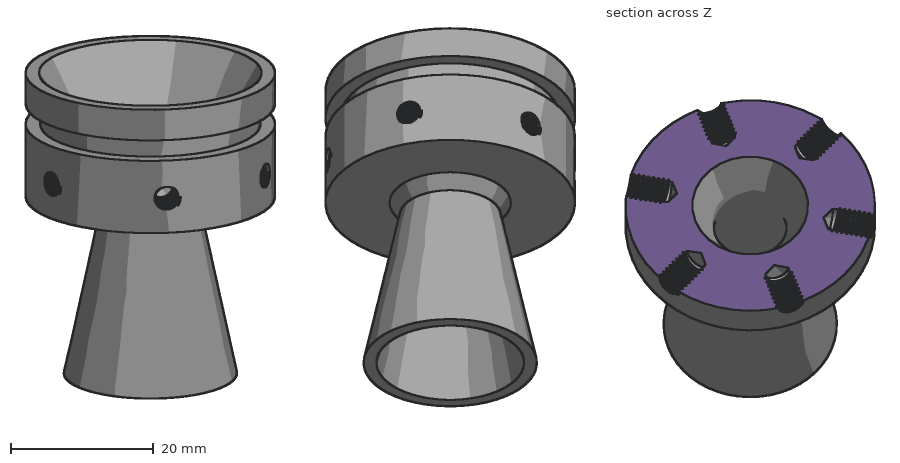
import math

import cadquery as cq

TOTAL_HEIGHT = 44.04
LIP_HEIGHT = 4.5
GROOVE_WIDTH = 3.0
COLLAR_HEIGHT = 10.6
NECK_Z = 23.84

COLLAR_RADIUS = 17.5
GROOVE_RADIUS = 15.45
SHOULDER_RADIUS = 8.5
NECK_RADIUS = 7.1
EXIT_OUTER_RADIUS = 12.15

INLET_RADIUS = 15.6
THROAT_RADIUS = 5.07
THROAT_ROUNDING = 2.7
INLET_HALF_ANGLE = math.radians(30)
EXIT_HALF_ANGLE = math.radians(12)

HOLE_COUNT = 6
HOLE_ABOVE_COLLAR_BASE = 5.08
TAP_DRILL_RADIUS = 3.35 / 2
THREAD_MAJOR_RADIUS = 4.0 / 2
THREAD_PITCH = 0.7
THREAD_ROOT_OVERLAP = 0.1
THREAD_FLANK_ANGLE = math.radians(30)
THREAD_START_DEPTH = 0.18
THREAD_LENGTH = 5.6
HOLE_DEPTH = 6.0
DRILL_TIP_HALF_ANGLE = math.radians(59)

groove_top_z = TOTAL_HEIGHT - LIP_HEIGHT
groove_base_z = groove_top_z - GROOVE_WIDTH
collar_base_z = groove_base_z - COLLAR_HEIGHT
hole_z = collar_base_z + HOLE_ABOVE_COLLAR_BASE


def make_outer_body():
    """Solid of revolution bounded by the outside of the part."""
    return (
        cq.Workplane("XZ")
        .moveTo(0, 0)
        .lineTo(EXIT_OUTER_RADIUS, 0)
        .lineTo(NECK_RADIUS, NECK_Z)
        .lineTo(SHOULDER_RADIUS, collar_base_z)
        .lineTo(COLLAR_RADIUS, collar_base_z)
        .lineTo(COLLAR_RADIUS, groove_base_z)
        .lineTo(GROOVE_RADIUS, groove_base_z)
        .lineTo(GROOVE_RADIUS, groove_top_z)
        .lineTo(COLLAR_RADIUS, groove_top_z)
        .lineTo(COLLAR_RADIUS, TOTAL_HEIGHT)
        .lineTo(0, TOTAL_HEIGHT)
        .close()
        .revolve(360, (0, 0, 0), (0, 1, 0))
    )


def make_bore():
    """Converging-diverging bore with an arc tangent to both cones at the throat."""
    arc_center_r = THROAT_RADIUS + THROAT_ROUNDING
    inlet_end_r = arc_center_r - THROAT_ROUNDING * math.cos(INLET_HALF_ANGLE)
    inlet_end_z = TOTAL_HEIGHT - (INLET_RADIUS - inlet_end_r) / math.tan(INLET_HALF_ANGLE)
    throat_z = inlet_end_z - THROAT_ROUNDING * math.sin(INLET_HALF_ANGLE)
    exit_start_r = arc_center_r - THROAT_ROUNDING * math.cos(EXIT_HALF_ANGLE)
    exit_start_z = throat_z - THROAT_ROUNDING * math.sin(EXIT_HALF_ANGLE)
    exit_inner_radius = exit_start_r + exit_start_z * math.tan(EXIT_HALF_ANGLE)
    return (
        cq.Workplane("XZ")
        .moveTo(0, 0)
        .lineTo(exit_inner_radius, 0)
        .lineTo(exit_start_r, exit_start_z)
        .threePointArc((THROAT_RADIUS, throat_z), (inlet_end_r, inlet_end_z))
        .lineTo(INLET_RADIUS, TOTAL_HEIGHT)
        .lineTo(0, TOTAL_HEIGHT)
        .close()
        .revolve(360, (0, 0, 0), (0, 1, 0))
    )


def make_drilling():
    """Drilled hole along +Z from just outside the surface at Z = 0, with a conical tip."""
    run_out = 1.0
    tip_depth = HOLE_DEPTH + TAP_DRILL_RADIUS / math.tan(DRILL_TIP_HALF_ANGLE)
    return (
        cq.Workplane("XZ")
        .moveTo(0, -run_out)
        .lineTo(TAP_DRILL_RADIUS, -run_out)
        .lineTo(TAP_DRILL_RADIUS, HOLE_DEPTH)
        .lineTo(0, tip_depth)
        .close()
        .revolve(360, (0, 0, 0), (0, 1, 0))
    )


def make_thread_groove():
    """Right-hand helical V groove along +Z, cut outward from the drilled wall."""
    inner_radius = TAP_DRILL_RADIUS - THREAD_ROOT_OVERLAP
    half_width = (THREAD_MAJOR_RADIUS - inner_radius) * math.tan(THREAD_FLANK_ANGLE)
    helix = cq.Wire.makeHelix(THREAD_PITCH, THREAD_LENGTH, TAP_DRILL_RADIUS)
    groove = (
        cq.Workplane("XZ")
        .moveTo(inner_radius, -half_width)
        .lineTo(THREAD_MAJOR_RADIUS, 0)
        .lineTo(inner_radius, half_width)
        .close()
        .sweep(cq.Workplane(obj=helix), isFrenet=True)
    )
    return groove.translate((0, 0, THREAD_START_DEPTH))


def place_on_collar(cutter, index):
    """Turn a +Z cutter to point inward from the -Y side, then swing it around the axis."""
    inward = cutter.rotate((0, 0, 0), (1, 0, 0), -90)
    at_surface = inward.translate((0, -COLLAR_RADIUS, hole_z))
    return at_surface.rotate((0, 0, 0), (0, 0, 1), index * 360 / HOLE_COUNT)


def cut_tapped_holes(body):
    drilling = make_drilling()
    groove = make_thread_groove()
    for index in range(HOLE_COUNT):
        body = body.cut(place_on_collar(drilling, index))
        body = body.cut(place_on_collar(groove, index))
    return body


result = cut_tapped_holes(make_outer_body().cut(make_bore()))